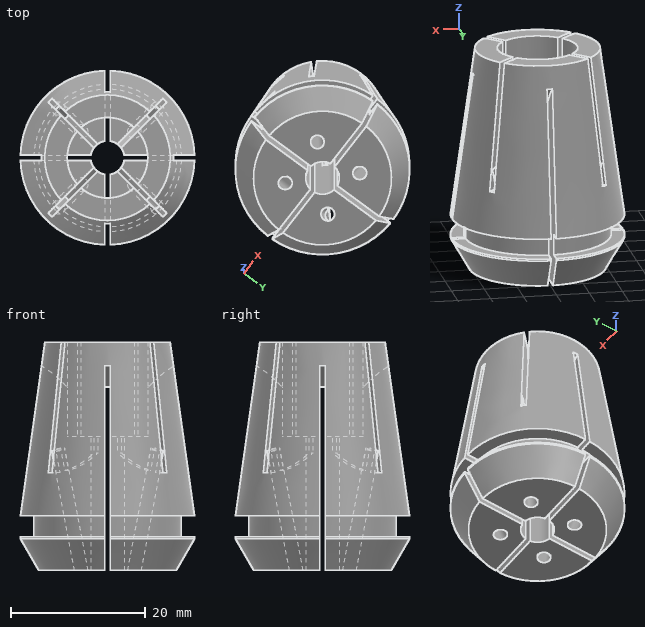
import math

import cadquery as cq

total_height = 34.0
rim_radius = 13.0
nose_angle = 30.0
taper_angle = 8.0
groove_bottom = 5.0
groove_top = 8.1
groove_radius = 11.0
nose_height = 4.7

grip_radius = 2.5
shank_radius = 6.0
bore_step_z = 20.0

slot_width = 0.8
slot_count = 4
lower_slot_angle = 0.0
upper_slot_angle = 45.0
lower_slot_top = 30.5
lower_slot_bore_top = 27.3
upper_slot_bottom = 14.55
saw_radius = 17.0

coolant_diameter = 2.0
coolant_angle = 15.0
coolant_top = 18.0
coolant_mouth_radius = 9.5

outer_reach = rim_radius + 1.0
end_clearance = 1.0


def taper_radius(z):
    """Radius of the locating cone at height z."""
    return rim_radius - (z - groove_top) * math.tan(math.radians(taper_angle))


def collet_body():
    nose_radius = rim_radius - nose_height * math.tan(math.radians(nose_angle))
    profile = [
        (grip_radius, 0),
        (nose_radius, 0),
        (rim_radius, nose_height),
        (rim_radius, groove_bottom),
        (groove_radius, groove_bottom),
        (groove_radius, groove_top),
        (rim_radius, groove_top),
        (taper_radius(total_height), total_height),
        (shank_radius, total_height),
        (shank_radius, bore_step_z),
        (grip_radius, bore_step_z),
    ]
    return cq.Workplane("XZ").polyline(profile).close().revolve(360, (0, 0, 0), (0, 1, 0))


def extrude_slot(outline):
    return outline.close().extrude(slot_width / 2, both=True)


def lower_slot():
    """Slot open at the bottom; its ceiling curves down from the cone to the bore."""
    mouth_radius = taper_radius(lower_slot_top)
    chord_run = mouth_radius - shank_radius
    chord_drop = lower_slot_top - lower_slot_bore_top
    chord = math.hypot(chord_run, chord_drop)
    bulge = saw_radius - math.sqrt(saw_radius**2 - (chord / 2) ** 2)
    arc_middle = (
        (mouth_radius + shank_radius) / 2 - bulge * chord_drop / chord,
        (lower_slot_top + lower_slot_bore_top) / 2 + bulge * chord_run / chord,
    )
    outline = (
        cq.Workplane("XZ")
        .moveTo(0, -end_clearance)
        .lineTo(outer_reach, -end_clearance)
        .lineTo(outer_reach, lower_slot_top)
        .lineTo(mouth_radius, lower_slot_top)
        .threePointArc(arc_middle, (shank_radius, lower_slot_bore_top))
        .lineTo(0, lower_slot_bore_top)
    )
    return extrude_slot(outline)


def upper_slot():
    """Slot open at the top; its floor rises from the cone to the bore."""
    mouth_radius = taper_radius(upper_slot_bottom)
    sweep = math.asin(mouth_radius / saw_radius)

    def floor_point(angle):
        return (
            mouth_radius - saw_radius * math.sin(angle),
            upper_slot_bottom + saw_radius * (1 - math.cos(angle)),
        )

    outline = (
        cq.Workplane("XZ")
        .moveTo(0, total_height + end_clearance)
        .lineTo(outer_reach, total_height + end_clearance)
        .lineTo(outer_reach, upper_slot_bottom)
        .lineTo(mouth_radius, upper_slot_bottom)
        .threePointArc(floor_point(sweep / 2), floor_point(sweep))
    )
    return extrude_slot(outline)


def coolant_hole():
    slope = math.tan(math.radians(coolant_angle))
    top_radius = coolant_mouth_radius + (coolant_top - upper_slot_bottom) * slope
    length = (coolant_top + end_clearance) / math.cos(math.radians(coolant_angle))
    start = cq.Vector(top_radius, 0, coolant_top)
    direction = cq.Vector(-slope, 0, -1)
    return cq.Workplane(obj=cq.Solid.makeCylinder(coolant_diameter / 2, length, start, direction))


def cut_around(body, cutter, first_angle):
    for index in range(slot_count):
        angle = first_angle + index * 360 / slot_count
        body = body.cut(cutter.rotate((0, 0, 0), (0, 0, 1), angle))
    return body


result = collet_body()
result = cut_around(result, lower_slot(), lower_slot_angle)
result = cut_around(result, upper_slot(), upper_slot_angle)
result = cut_around(result, coolant_hole(), upper_slot_angle)